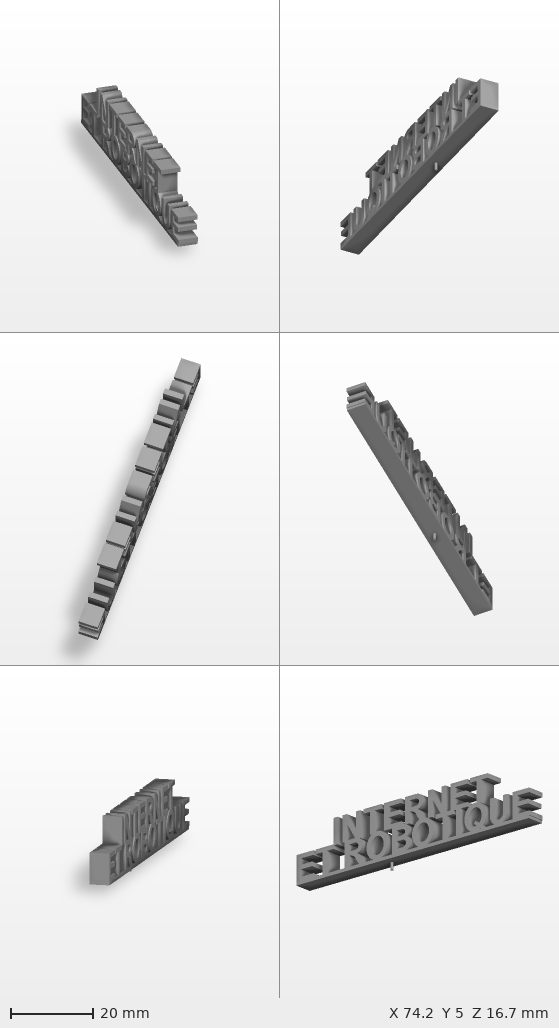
import cadquery as cq

depth = 5.0
cap_height = 7.1
stem = 1.4
bar = 1.2
round_overshoot = 0.15

strip_length = 74.0
strip_height = 0.9

lower_baseline = 0.75
row_pitch = 6.8
upper_baseline = lower_baseline + row_pitch

pin_diameter = 0.75
pin_length = 2.0
pin_x = 28.35

lower_row = [
    ("E", 0.1), ("T", 6.15), ("R", 15.4), ("O", 22.35), ("B", 30.4), ("O", 36.8),
    ("T", 44.4), ("I", 50.9), ("Q", 53.5), ("U", 61.6), ("E", 68.8),
]
upper_row = [
    ("I", 11.8), ("N", 14.7), ("T", 21.4), ("E", 28.0), ("R", 34.65),
    ("N", 41.85), ("E", 49.05), ("T", 55.2),
]


def sketch():
    """Plane of the rear face: local x along the row, local y upward from the baseline."""
    return cq.Workplane("XZ", origin=(0, depth / 2, 0))


def raised(outline):
    """Extrude a closed outline forward through the full depth."""
    return outline.extrude(depth)


def block(left, bottom, width, height):
    """Rectangular stroke given by its lower left corner and size."""
    return raised(sketch().moveTo(left, bottom).rect(width, height, centered=False))


def upright():
    """Full-height stroke at the left edge of a letter."""
    return block(0, 0, stem, cap_height)


def bowl(bottom, top, straight, reach):
    """D shape: level edges up to x = straight, then a half ellipse out to x = reach."""
    outline = (
        sketch()
        .moveTo(0, bottom)
        .lineTo(straight, bottom)
        .ellipseArc(reach - straight, (top - bottom) / 2, -90, 90, startAtCurrent=True)
        .lineTo(0, top)
        .close()
    )
    return raised(outline)


def letter_b():
    lower_top = 4.0
    lower_straight = 3.6
    lower_reach = 6.0
    upper_bottom = 3.4
    upper_straight = 3.4
    upper_reach = 5.65
    lower_counter_top = 3.1
    lower_counter_straight = 3.35
    lower_counter_reach = 4.45
    upper_counter_bottom = 4.3
    upper_counter_straight = 3.1
    upper_counter_reach = 4.2

    lower_bowl = bowl(0, lower_top, lower_straight, lower_reach)
    upper_bowl = bowl(upper_bottom, cap_height, upper_straight, upper_reach)
    lower_counter = bowl(bar, lower_counter_top, lower_counter_straight, lower_counter_reach)
    upper_counter = bowl(
        upper_counter_bottom, cap_height - bar, upper_counter_straight, upper_counter_reach
    )
    bowls = lower_bowl.union(upper_bowl).cut(lower_counter).cut(upper_counter)
    return bowls.union(upright())


def letter_e():
    top_width = 5.35
    middle_width = 5.0
    bottom_width = 5.4
    middle_bottom = 3.1
    body = upright()
    body = body.union(block(0, cap_height - bar, top_width, bar))
    body = body.union(block(0, middle_bottom, middle_width, bar))
    return body.union(block(0, 0, bottom_width, bar))


def letter_i():
    return upright()


def letter_n():
    width = 5.65
    side = 1.3
    diagonal_run = 1.4
    notch = 2.4
    outline = (
        sketch()
        .polyline([
            (0, 0), (0, cap_height), (diagonal_run, cap_height), (width - side, notch),
            (width - side, cap_height), (width, cap_height), (width, 0),
            (width - diagonal_run, 0), (side, cap_height - notch), (side, 0),
        ])
        .close()
    )
    return raised(outline)


def letter_o():
    width = 6.9
    hole_width = 4.0
    hole_height = 4.9
    outline = (
        sketch()
        .center(width / 2, cap_height / 2)
        .ellipse(width / 2, cap_height / 2 + round_overshoot)
        .ellipse(hole_width / 2, hole_height / 2)
    )
    return raised(outline)


def letter_q():
    tail_corners = [(3.05, 1.85), (3.4, 2.6), (6.9, 0.15), (6.4, -0.7)]
    tail = raised(sketch().polyline(tail_corners).close())
    return letter_o().union(tail)


def letter_r():
    straight = 3.35
    bowl_bottom = 3.05
    bowl_reach = 5.9
    counter_bottom = 4.1
    counter_reach = 4.4
    leg_top = 3.7
    leg_underside = 3
    foot_left = 4.7
    foot_right = 6.4
    ring = bowl(bowl_bottom, cap_height, straight, bowl_reach)
    ring = ring.cut(bowl(counter_bottom, cap_height - bar, straight, counter_reach))
    leg = (
        sketch()
        .moveTo(0, leg_underside)
        .lineTo(1.7, leg_underside)
        .threePointArc((2.7, 2.7), (3.6, 1.55))
        .lineTo(foot_left, 0)
        .lineTo(foot_right, 0)
        .lineTo(5.5, 1.4)
        .threePointArc((4.75, 2.5), (3.9, 3.1))
        .lineTo(0, leg_top)
        .close()
    )
    return upright().union(ring).union(raised(leg))


def letter_t():
    width = 5.7
    body = block((width - stem) / 2, 0, stem, cap_height)
    return body.union(block(0, cap_height - bar, width, bar))


def letter_u():
    width = 5.65
    turn = 2.7
    floor = 1.1
    outline = (
        sketch()
        .moveTo(0, cap_height)
        .lineTo(0, turn)
        .ellipseArc(width / 2, turn + round_overshoot, 180, 360, startAtCurrent=True)
        .lineTo(width, cap_height)
        .lineTo(width - stem, cap_height)
        .lineTo(width - stem, turn)
        .ellipseArc(width / 2 - stem, turn - floor, 180, 360, startAtCurrent=True, sense=-1)
        .lineTo(stem, cap_height)
        .close()
    )
    return raised(outline)


def mounting_pin():
    return cq.Workplane("XY").center(pin_x, 0).circle(pin_diameter / 2).extrude(-pin_length)


letters = {
    "B": letter_b(), "E": letter_e(), "I": letter_i(), "N": letter_n(), "O": letter_o(),
    "Q": letter_q(), "R": letter_r(), "T": letter_t(), "U": letter_u(),
}

result = block(0, 0, strip_length, strip_height).union(mounting_pin())
for row, baseline in ((lower_row, lower_baseline), (upper_row, upper_baseline)):
    for name, left in row:
        result = result.union(letters[name].translate((left, 0, baseline)))